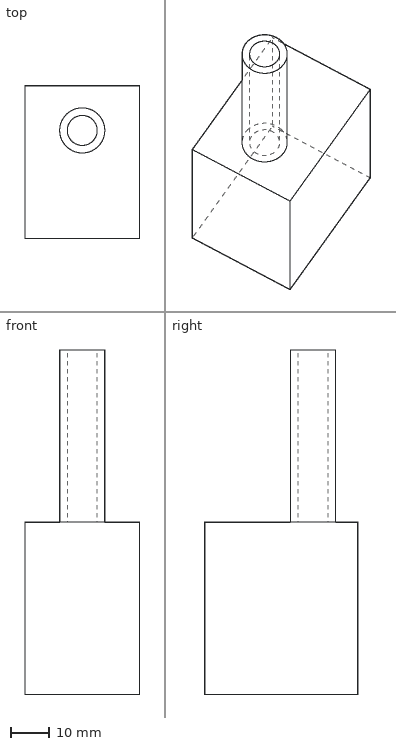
import cadquery as cq

body_width = 30.0
body_depth = 40.0
body_height = 45.0

total_height = 90.0
tube_height = total_height - body_height
tube_diameter = 11.8
bore_diameter = 7.8
tube_offset_y = 8.3

body = cq.Workplane("XY").box(body_width, body_depth, body_height, centered=(True, True, False))

tube = (
    cq.Workplane("XY", origin=(0, tube_offset_y, body_height))
    .circle(tube_diameter / 2)
    .circle(bore_diameter / 2)
    .extrude(tube_height)
)

result = body.union(tube)